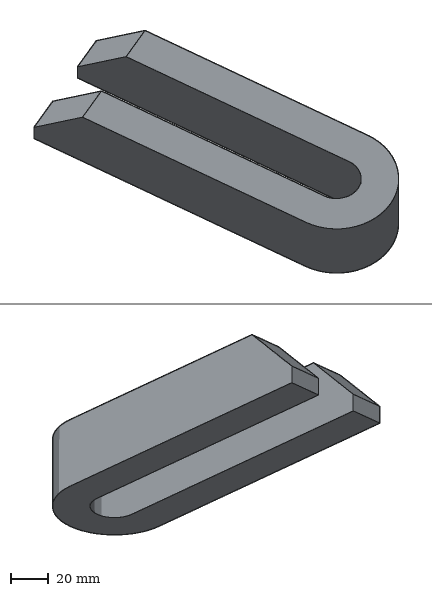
import cadquery as cq

length = 200.0
height = 40.0
arm_width = 20.0
slot_width = 26.0
nose_height = 10.0

width = slot_width + 2 * arm_width
outer_radius = width / 2
slot_radius = slot_width / 2
bend_x = length - outer_radius
bevel = height - nose_height


def round_ended_bar(radius):
    """Bar along X with a square end at X = 0 and a round end about bend_x."""
    return (
        cq.Workplane("XY")
        .moveTo(0, -radius)
        .lineTo(bend_x, -radius)
        .threePointArc((bend_x + radius, 0), (bend_x, radius))
        .lineTo(0, radius)
        .close()
        .extrude(height)
    )


def nose_bevel():
    """Wedge removed from the top of both arm tips."""
    return (
        cq.Workplane("XZ")
        .moveTo(0, nose_height)
        .lineTo(bevel, height)
        .lineTo(0, height)
        .close()
        .extrude(outer_radius, both=True)
    )


result = round_ended_bar(outer_radius).cut(round_ended_bar(slot_radius)).cut(nose_bevel())